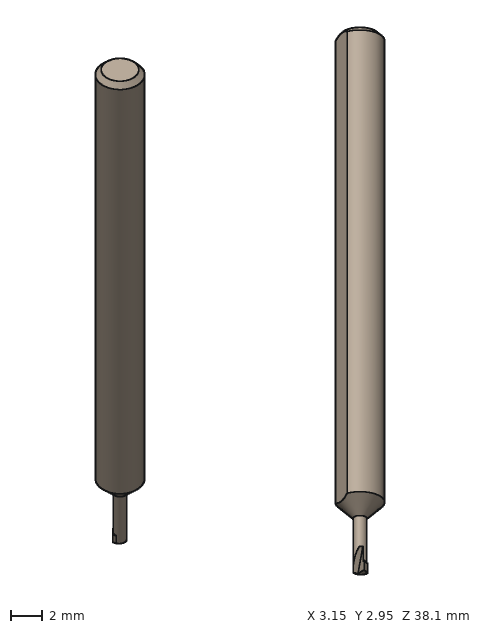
import cadquery as cq

length = 38.1
shank_diameter = 3.15
shank_radius = shank_diameter / 2
width_over_flat = 2.95
flat_y = width_over_flat - shank_radius
top_chamfer = 0.4
neck_diameter = 0.88
neck_radius = neck_diameter / 2
neck_top = 3.9
cone_top = neck_top + shank_radius - neck_radius

tip_reach = 0.57
tooth_height = 0.7
relief_x = -0.23
relief_y = -0.45
heel_x = 0.05
heel_y = -0.45
end_rise = 0.1

pocket_top = 1.7
wall_top_x = -0.4
wall_bottom_x = 0.3

clearance = 0.4


def make_body():
    """Turned neck, cone and chamfered shank, with a flat along the shank."""
    profile = [
        (0, 0),
        (-neck_radius, 0),
        (-neck_radius, neck_top),
        (-shank_radius, cone_top),
        (-shank_radius, length - top_chamfer),
        (-shank_radius + top_chamfer, length),
        (0, length),
    ]
    body = cq.Workplane("XZ").polyline(profile).close().revolve(360, (0, 0), (0, 1))
    flat_cutter = cq.Workplane("XY").box(
        2 * shank_radius, shank_radius, length, centered=(True, False, False)
    ).translate((0, flat_y, 0))
    return body.cut(flat_cutter)


def make_tooth():
    """Pointed tooth with its rake face on Y = 0 and a faceted relief behind it."""
    outline = [
        (-tip_reach, 0),
        (relief_x, relief_y),
        (heel_x, heel_y),
        (heel_x, 0),
    ]
    return cq.Workplane("XY").polyline(outline).close().extrude(tooth_height)


def make_chip_pocket():
    """Pocket on the +Y side of the rake face, deepening towards the tip."""
    outer_x = -tip_reach - clearance
    outline = [
        (outer_x, 0),
        (wall_bottom_x, 0),
        (wall_top_x, pocket_top),
        (outer_x, pocket_top),
    ]
    return cq.Workplane("XZ").polyline(outline).close().extrude(-neck_radius - clearance)


def make_end_cutter():
    """Wedge that slopes the end face up from the tip towards +X."""
    outline = [
        (-tip_reach, 0),
        (neck_radius, end_rise),
        (neck_radius, 0),
    ]
    half_width = neck_radius + clearance
    return cq.Workplane("XZ").polyline(outline).close().extrude(half_width, both=True)


result = make_body().union(make_tooth()).cut(make_chip_pocket()).cut(make_end_cutter())